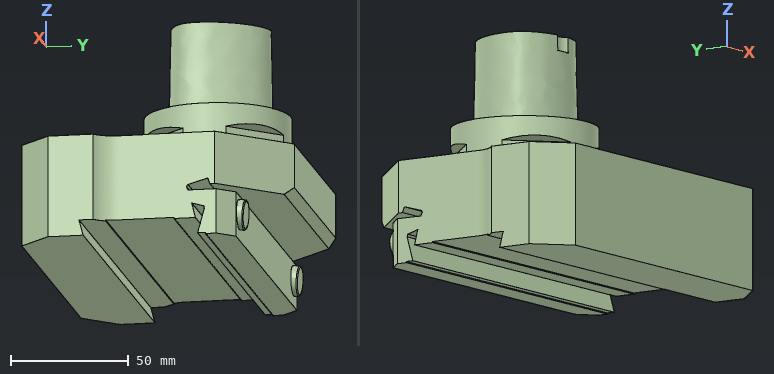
import cadquery as cq
import math


back_y = 42.0
front_y = -72.0
body_top = 44.5
wide_half = 80.0
narrow_half = 74.9
shoulder_radius = 12.2
shoulder_start_y = -28.5
shoulder_rise = wide_half - narrow_half
front_chamfer = 14.0
back_chamfer = 28.8
jaw_chamfer = 28.2

foot_z = 0.5
back_lower_chamfer = 3.7
slot_top_z = 21.8
slot_bottom_z = 19.4
jaw_back_y = 21.0
dovetail_pad_z = 7.2
dovetail_roof_z = 7.7

screw_diameter = 13.0
screw_x = 60.2
screw_z = 10.9
screw_projection = 2.9
screw_embed = 4.8
screw_tilt = 5.0
screw_rim_chamfer = 0.5

collar_radius = 63.0 / 2
collar_top = 67.8
collar_flare = 1.04
pocket_z = 55.8
pocket_floor_distance = 27.8
pocket_floor_half = 1.8
pocket_mouth_half = 3.7
pocket_count = 4

shank_top = 105.8
shank_base_radius = 22.2
shank_top_radius = 21.5
lobe_height = 1.6
lobe_count = 3
shank_curve_points = 48

key_radius = 4.8
key_inner_y = -17.8
key_depth = 6.7


def plan_prism(chamfer, bottom, top):
    """Body outline in plan with the given 45 degree back chamfer."""
    shoulder_angle = math.acos(1 - shoulder_rise / shoulder_radius)
    shoulder_end_y = shoulder_start_y - shoulder_radius * math.sin(shoulder_angle)
    middle_x = narrow_half + shoulder_radius * (1 - math.cos(shoulder_angle / 2))
    middle_y = shoulder_start_y - shoulder_radius * math.sin(shoulder_angle / 2)
    half = (
        cq.Workplane("XY", origin=(0, 0, bottom))
        .moveTo(0, back_y)
        .lineTo(narrow_half - chamfer, back_y)
        .lineTo(narrow_half, back_y - chamfer)
        .lineTo(narrow_half, shoulder_start_y)
        .threePointArc((middle_x, middle_y), (wide_half, shoulder_end_y))
        .lineTo(wide_half, front_y + front_chamfer)
        .lineTo(wide_half - front_chamfer, front_y)
        .lineTo(0, front_y)
        .close()
        .extrude(top - bottom)
    )
    return half.union(half.mirror("YZ"))


def side_profile():
    """Cross-section in Y and Z, with the clamping slot and the dovetail."""
    outline = [
        (front_y, body_top),
        (back_y, body_top),
        (back_y, slot_top_z + back_lower_chamfer),
        (back_y - back_lower_chamfer, slot_top_z),
        (11.0, slot_top_z),
        (10.0, 24.2),
        (1.6, slot_top_z),
        (1.0, 20.8),
        (1.6, slot_bottom_z),
        (jaw_back_y, slot_bottom_z),
        (jaw_back_y, 0),
        (9.1, 0),
        (9.1, foot_z),
        (5.8, foot_z),
        (8.6, 11.0),
        (8.3, 12.2),
        (3.2, 13.6),
        (4.8, dovetail_pad_z),
        (-4.5, dovetail_pad_z),
        (-4.5, dovetail_roof_z),
        (-33.8, dovetail_roof_z),
        (-33.8, dovetail_pad_z),
        (-44.5, dovetail_pad_z),
        (-42.7, foot_z),
        (front_y, foot_z),
    ]
    return (
        cq.Workplane("YZ")
        .polyline(outline)
        .close()
        .extrude(wide_half, both=True)
    )


def make_body():
    slot_middle_z = (slot_top_z + slot_bottom_z) / 2
    lower = plan_prism(jaw_chamfer, 0, slot_middle_z)
    upper = plan_prism(back_chamfer, slot_middle_z, body_top)
    return lower.union(upper).intersect(side_profile())


def screw_head(x):
    """Short cylinder whose outer face leans slightly downwards."""
    tilt = math.radians(screw_tilt)
    axis = cq.Vector(0, math.cos(tilt), -math.sin(tilt))
    outer_face = cq.Vector(x, jaw_back_y + screw_projection, screw_z)
    length = screw_projection + screw_embed
    head = cq.Solid.makeCylinder(screw_diameter / 2, length, outer_face, axis * -1)
    return cq.Workplane(head).faces(">Y").chamfer(screw_rim_chamfer)


def make_collar():
    """Cylinder with a flared foot and trapezoidal gripper pockets."""
    collar = (
        cq.Workplane("XZ")
        .moveTo(0, body_top)
        .lineTo(collar_radius + collar_flare, body_top)
        .lineTo(collar_radius, body_top + collar_flare)
        .lineTo(collar_radius, collar_top)
        .lineTo(0, collar_top)
        .close()
        .revolve(360, (0, 0, 0), (0, 1, 0))
    )
    pocket = (
        cq.Workplane("XZ")
        .moveTo(pocket_floor_distance, pocket_z - pocket_floor_half)
        .lineTo(collar_radius, pocket_z - pocket_mouth_half)
        .lineTo(collar_radius, pocket_z + pocket_mouth_half)
        .lineTo(pocket_floor_distance, pocket_z + pocket_floor_half)
        .close()
        .extrude(collar_radius, both=True)
    )
    for index in range(pocket_count):
        angle = (index + 0.5) * 360 / pocket_count
        collar = collar.cut(pocket.rotate((0, 0, 0), (0, 0, 1), angle))
    return collar


def shank_point(radius, angle):
    """Point of a rounded three-lobed curve with one lobe on +Y.

    The tangent at each angle lies at radius + lobe_height * cos(3 * angle).
    """
    reach = radius + lobe_height * math.cos(lobe_count * angle)
    slide = -lobe_count * lobe_height * math.sin(lobe_count * angle)
    x = reach * math.sin(angle) + slide * math.cos(angle)
    y = reach * math.cos(angle) - slide * math.sin(angle)
    return (x, y)


def shank_outline(radius):
    step = 2 * math.pi / shank_curve_points
    return [shank_point(radius, index * step) for index in range(shank_curve_points)]


def make_shank():
    shank = (
        cq.Workplane("XY", origin=(0, 0, collar_top))
        .spline(shank_outline(shank_base_radius), periodic=True)
        .close()
        .workplane(offset=shank_top - collar_top)
        .spline(shank_outline(shank_top_radius), periodic=True)
        .close()
        .loft(ruled=True)
    )
    keyway = (
        cq.Workplane("XY", origin=(0, key_inner_y - key_radius, shank_top - key_depth))
        .circle(key_radius)
        .extrude(key_depth)
    )
    return shank.cut(keyway)


result = make_body()
for side in (-1, 1):
    result = result.union(screw_head(side * screw_x))
result = result.union(make_collar()).union(make_shank())